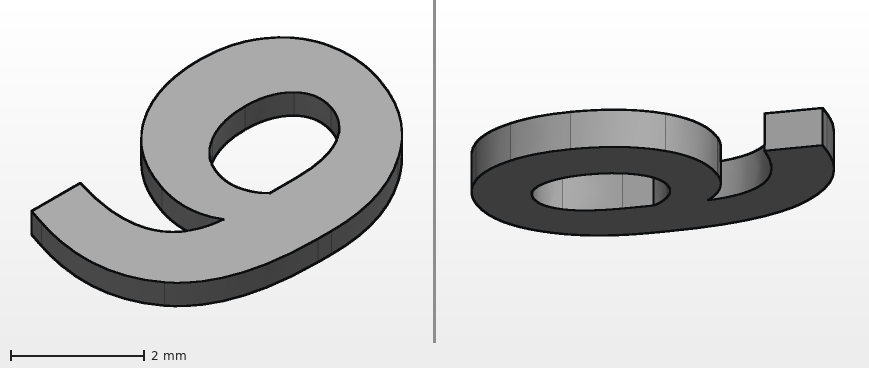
import cadquery as cq

width = 3.73
height = 5.66
thickness = 0.6

tail_x = 0.82
tail_height = 0.9
tail_flat_end_x = 1.08

notch = (2.615, 2.26)

bowl_bottom = (1.61, 1.845)
bowl_left_y = 3.69
bowl_top_x = 1.845

stem_top_y = 3.45
stem_bottom_y = 3.205

counter_left = 1.1
counter_right = 2.62
counter_bottom = 2.685
counter_top = 4.77
counter_left_y = 3.735
counter_top_x = 1.86
counter_bottom_x = 1.885
counter_corner_y = 3.11
counter_straight_top_y = 3.595


def curve_through(profile, arcs):
    """Append quadratic curves, each given as (control point, end point)."""
    for control, end in arcs:
        profile = profile.bezier([control, end], includeCurrent=True)
    return profile


def numeral_body():
    tail_and_bowl = [
        ((2.515, 0.92), notch),
        ((2.195, bowl_bottom[1]), bowl_bottom),
        ((0.87, bowl_bottom[1]), (0.44, 2.34)),
        ((0, 2.84), (0, bowl_left_y)),
        ((0, 4.245), (0.23, 4.685)),
        ((0.465, 5.145), (0.89, 5.4)),
        ((1.325, height), (bowl_top_x, height)),
        ((2.705, height), (3.21, 5.05)),
        ((width, 4.45), (width, stem_top_y)),
    ]
    stem_and_tail = [
        ((width, 1.64), (3.05, 0.86)),
        ((2.305, 0), (tail_flat_end_x, 0)),
    ]
    profile = cq.Workplane("XY").moveTo(tail_x, tail_height)
    profile = curve_through(profile, tail_and_bowl)
    profile = profile.lineTo(width, stem_bottom_y)
    profile = curve_through(profile, stem_and_tail)
    return profile.lineTo(tail_x, 0).close().extrude(thickness)


def counter_opening():
    arcs = [
        ((counter_right, 4.16), (2.415, 4.47)),
        ((2.215, counter_top), (counter_top_x, counter_top)),
        ((1.52, counter_top), (1.315, 4.48)),
        ((counter_left, 4.19), (counter_left, counter_left_y)),
        ((counter_left, 3.28), (1.3, 2.995)),
        ((1.51, counter_bottom), (counter_bottom_x, counter_bottom)),
        ((2.135, counter_bottom), (2.325, 2.82)),
        ((2.51, 2.93), (counter_right, counter_corner_y)),
    ]
    profile = cq.Workplane("XY").moveTo(counter_right, counter_straight_top_y)
    return curve_through(profile, arcs).close().extrude(thickness)


result = numeral_body().cut(counter_opening())